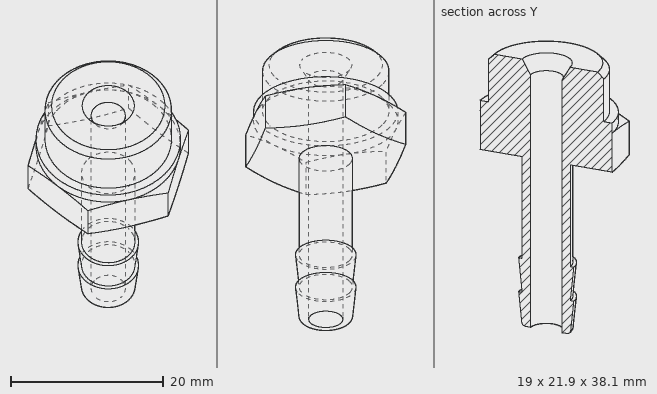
import cadquery as cq
import math

total_height = 38.1
hex_across_flats = 19.0
hex_bottom = 24.1
hex_top = 29.7
hex_chamfer_angle = 15.0
collar_diameter = hex_across_flats
collar_top = 31.15
head_diameter = 16.65
head_chamfer = 0.88
tube_diameter = 7.0
barb_diameter = 8.0
barb_tip_diameter = tube_diameter
barb_pitch = 4.85
barb_count = 2
tip_fillet = 0.6
bore_diameter = 4.5
countersink_diameter = 6.85
countersink_angle = 60.0

envelope_margin = 0.4
hex_across_corners = hex_across_flats / math.cos(math.radians(30))


def cylinder(diameter, bottom, top):
    return cq.Workplane("XY").workplane(offset=bottom).circle(diameter / 2).extrude(top - bottom)


def hexagon():
    """Hexagon with corners on Y, its corners trimmed by a shallow cone at both ends."""
    prism = (
        cq.Workplane("XY")
        .workplane(offset=hex_bottom)
        .polygon(6, hex_across_corners)
        .extrude(hex_top - hex_bottom)
        .rotate((0, 0, 0), (0, 0, 1), 30)
    )
    flat_radius = hex_across_flats / 2
    outer_radius = hex_across_corners / 2 + envelope_margin
    drop = (outer_radius - flat_radius) * math.tan(math.radians(hex_chamfer_angle))
    envelope = (
        cq.Workplane("XZ")
        .moveTo(0, hex_bottom)
        .lineTo(flat_radius, hex_bottom)
        .lineTo(outer_radius, hex_bottom + drop)
        .lineTo(outer_radius, hex_top - drop)
        .lineTo(flat_radius, hex_top)
        .lineTo(0, hex_top)
        .close()
        .revolve(360, (0, 0, 0), (0, 1, 0))
    )
    return prism.intersect(envelope)


def barb(bottom):
    """Cone that widens upward to a sharp holding edge."""
    return (
        cq.Workplane("XY")
        .workplane(offset=bottom)
        .circle(barb_tip_diameter / 2)
        .workplane(offset=barb_pitch)
        .circle(barb_diameter / 2)
        .loft(ruled=True)
    )


def bore():
    """Through bore with a conical countersink at the head."""
    bore_radius = bore_diameter / 2
    mouth_radius = countersink_diameter / 2
    depth = (mouth_radius - bore_radius) / math.tan(math.radians(countersink_angle / 2))
    return (
        cq.Workplane("XZ")
        .lineTo(bore_radius, 0)
        .lineTo(bore_radius, total_height - depth)
        .lineTo(mouth_radius, total_height)
        .lineTo(0, total_height)
        .close()
        .revolve(360, (0, 0, 0), (0, 1, 0))
    )


head = cylinder(head_diameter, collar_top, total_height).faces(">Z").chamfer(head_chamfer)
collar = cylinder(collar_diameter, hex_top, collar_top)
tube = cylinder(tube_diameter, barb_count * barb_pitch, hex_bottom)

body = hexagon().union(collar).union(head).union(tube)
for index in range(barb_count):
    segment = barb(index * barb_pitch)
    if index == 0:
        segment = segment.faces("<Z").edges().fillet(tip_fillet)
    body = body.union(segment)

result = body.cut(bore())